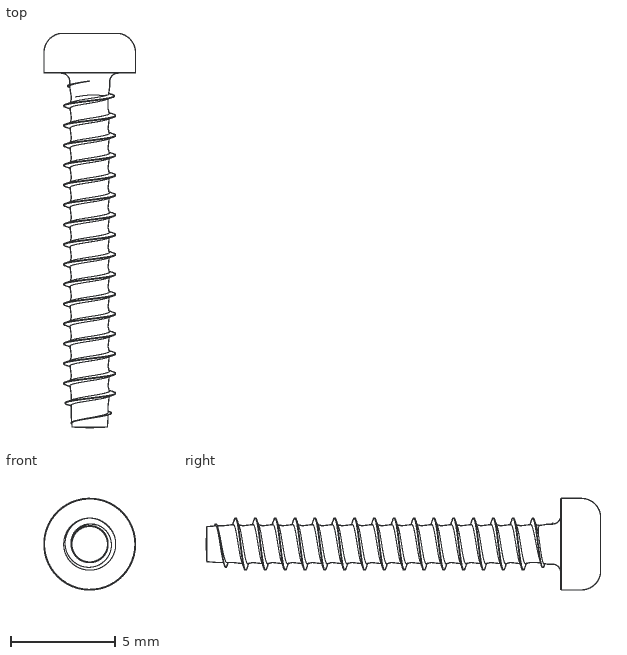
import cadquery as cq
import math


total_length = 18.9
head_diameter = 4.4
head_height = 1.9
head_side_height = 0.98
head_top_radius = 1.44
head_edge_chamfer = 0.04

neck_radius = 0.96
neck_fillet = 0.4
neck_end = -0.65
core_radius = 0.89
core_start = -1.13

tip_y = head_height - total_length
tip_taper_length = 0.47
tip_radius = 0.85
tip_cone_height = 0.04

major_radius = 1.25
first_crest_y = -1.32
last_crest_y = -15.57
turns_between_crests = 15
pitch = (first_crest_y - last_crest_y) / turns_between_crests
run_in_turns = 1.0
run_out_turns = 1.3
run_in_depth = 0.25
run_out_depth = 0.35
crest_half_width = 0.02
flank_half_width = 0.11
flank_root_radius = 0.95
foot_depth = 0.004
upper_foot_offset = 0.34
lower_foot_offset = 0.6
end_width_loss = 0.8
points_per_turn = 12


def make_body():
    """Head, neck, core and tip as one turned profile."""
    head_radius = head_diameter / 2
    rise = head_height - head_side_height
    run = head_radius - head_top_radius
    shoulder_radius = (rise**2 + run**2) / (2 * run)
    half_sweep = math.asin(rise / shoulder_radius) / 2
    shoulder_middle = (
        head_radius - shoulder_radius * (1 - math.cos(half_sweep)),
        head_side_height + shoulder_radius * math.sin(half_sweep),
    )
    tip_edge_y = tip_y + tip_cone_height
    fillet_offset = neck_fillet * (1 - math.sqrt(0.5))

    return (
        cq.Workplane("XY")
        .moveTo(0, head_height)
        .lineTo(head_top_radius, head_height)
        .threePointArc(shoulder_middle, (head_radius, head_side_height))
        .lineTo(head_radius, head_edge_chamfer)
        .lineTo(head_radius - head_edge_chamfer, 0)
        .lineTo(neck_radius + neck_fillet, 0)
        .threePointArc(
            (neck_radius + fillet_offset, -fillet_offset),
            (neck_radius, -neck_fillet),
        )
        .lineTo(neck_radius, neck_end)
        .lineTo(core_radius, core_start)
        .lineTo(core_radius, tip_edge_y + tip_taper_length)
        .lineTo(tip_radius, tip_edge_y)
        .lineTo(0, tip_y)
        .close()
        .revolve(360, (0, 0, 0), (0, 1, 0))
    )


def fade_at(turn):
    """Fraction by which the thread has faded out: 0 where full, 1 at either end."""
    if turn < 0:
        return -turn / run_in_turns
    return max(0.0, turn - turns_between_crests) / run_out_turns


def thread_edge(radius, offset, first_turn, last_turn):
    """Helical edge of the thread; turn 0 is the first full crest, at +Z."""

    def point(turn):
        angle = 2 * math.pi * turn
        fade = fade_at(turn)
        sink_depth = run_in_depth if turn < 0 else run_out_depth
        r = radius - sink_depth * fade
        y = first_crest_y - pitch * turn + offset * (1 - end_width_loss * fade)
        return cq.Vector(-r * math.sin(angle), y, r * math.cos(angle))

    turn_count = last_turn - first_turn
    steps = round(turn_count * points_per_turn)
    points = [point(first_turn + turn_count * i / steps) for i in range(steps + 1)]
    return cq.Edge.makeSpline(points)


def make_thread_piece(first_turn, last_turn):
    """Steep flanks on gently sloped feet that run out just below the core surface."""
    foot_radius = core_radius - foot_depth
    profile = [
        (foot_radius, upper_foot_offset),
        (flank_root_radius, flank_half_width),
        (major_radius, crest_half_width),
        (major_radius, -crest_half_width),
        (flank_root_radius, -flank_half_width),
        (foot_radius, -lower_foot_offset),
    ]
    edges = [thread_edge(r, offset, first_turn, last_turn) for r, offset in profile]
    next_edges = edges[1:] + edges[:1]
    sides = [cq.Face.makeRuledSurface(a, b) for a, b in zip(edges, next_edges)]
    caps = []
    for position in (0, 1):
        corners = [edge.positionAt(position) for edge in edges]
        caps.append(cq.Face.makeFromWires(cq.Wire.makePolygon(corners, close=True)))
    return cq.Solid.makeSolid(cq.Shell.makeShell(sides + caps))


def make_thread_pieces():
    """Run-in, single full turns and run-out, meeting end to end."""
    full_turns = list(range(turns_between_crests + 1))
    breaks = [-run_in_turns] + full_turns + [turns_between_crests + run_out_turns]
    return [make_thread_piece(start, end) for start, end in zip(breaks, breaks[1:])]


body = make_body().val()
result = cq.Workplane(obj=body.fuse(*make_thread_pieces()))